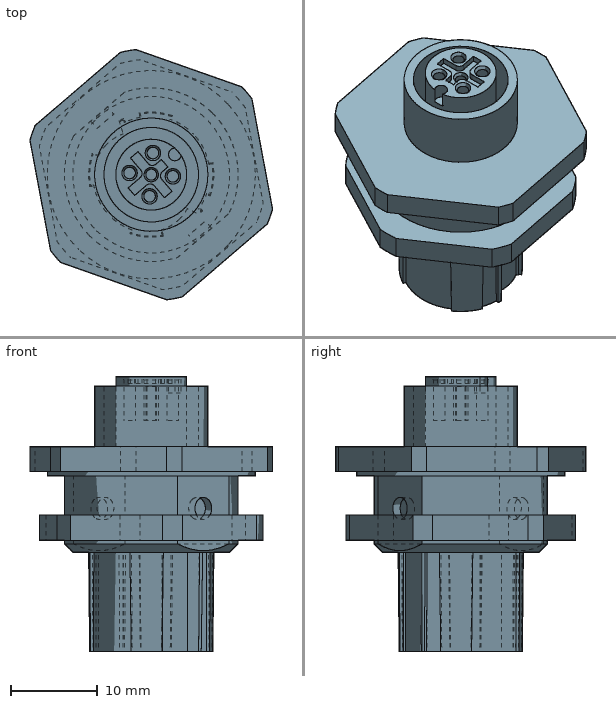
import cadquery as cq
import math

total_height = 31.6
sleeve_top = 30.53
flange_top = 23.57
flange_bottom = 20.7
seal_bottom = 20.2
nut_top = 15.7
nut_bottom = 12.8
body_bottom = 11.4

hex_angle = 10.6
key_angle = hex_angle + 30
flat_angles = (hex_angle - 60, hex_angle + 120)

sleeve_radius = 6.5
sleeve_bore_radius = 5.45
insert_radius = 4.08
seal_radius = 11.98
body_radius = 10.0
body_chamfer = 0.98

flange_across_flats = 25.98
flange_corner_radius = 14.5
nut_across_flats = 24.08
nut_corner_radius = 13.27

body_flat_distance = 9.2
recess_radius = 1.25
recess_depth = 1.1
recess_height = 16.45

contact_circle_radius = 2.5
contact_radius = 0.65
contact_mouth_radius = 0.9
contact_mouth_depth = 0.38
center_contact_radius = 0.63
center_mouth_radius = 0.82
contact_depth = 5.05
keyway_radius = 0.73
keyway_distance = 3.57
keyway_depth = 1.9
cross_depth = 0.75
cross_width = 1.15
cross_arm = 3.0
cross_short_arm = 2.02
cross_fillet = 0.63

grip_radius = 6.73
rib_radius = 7.2
rib_draft = 0.6
wide_rib_span = 31.0
wide_rib_angle = key_angle + 45
narrow_rib_span = 7.0
narrow_rib_offset = 79.0
step_start_offset = 119.4
step_end_offset = 83.9
step_start_radius = 6.45
step_end_radius = 5.7
step_arc_radius = 5.05
step_flank_angle = -26.0
step_clearance = 12.65


def polar(radius, angle):
    """Point at a radius and an angle in degrees."""
    turn = math.radians(angle)
    return (radius * math.cos(turn), radius * math.sin(turn))


def cylinder(radius, bottom, top):
    return cq.Workplane("XY").workplane(offset=bottom).circle(radius).extrude(top - bottom)


def rounded_hexagon(across_flats, corner_radius, bottom, top):
    """Hexagonal plate whose corners lie on a common circle."""
    hexagon = (
        cq.Workplane("XY")
        .workplane(offset=bottom)
        .polygon(6, across_flats, circumscribed=True)
        .extrude(top - bottom)
        .rotate((0, 0, 0), (0, 0, 1), hex_angle)
    )
    return hexagon.intersect(cylinder(corner_radius, bottom, top))


def make_body():
    """Round body with a chamfered lower edge and two opposite flats with recesses."""
    body = cylinder(body_radius, body_bottom, seal_bottom).faces("<Z").chamfer(body_chamfer)
    for angle in flat_angles:
        direction = polar(1, angle) + (0,)
        flat_plane = cq.Plane(
            origin=polar(body_flat_distance, angle) + (recess_height,),
            xDir=(-direction[1], direction[0], 0),
            normal=direction,
        )
        beyond_flat = cq.Workplane(flat_plane).rect(2 * body_radius, 2 * total_height).extrude(body_radius)
        recess = cq.Workplane(flat_plane).circle(recess_radius).extrude(-recess_depth)
        body = body.cut(beyond_flat).cut(recess)
    return body


def make_nut():
    """Lock nut whose bore reaches in to the body flats."""
    nut = rounded_hexagon(nut_across_flats, nut_corner_radius, nut_bottom, nut_top)
    return nut.cut(cylinder(body_flat_distance, nut_bottom, nut_top))


def contact_hole(radius, mouth_radius, top):
    """Blind contact hole with a conical mouth, centred on the Z axis."""
    bottom = total_height - contact_depth
    profile = [
        (0, bottom),
        (radius, bottom),
        (radius, top - contact_mouth_depth),
        (mouth_radius, top),
        (0, top),
    ]
    return cq.Workplane("XZ").polyline(profile).close().revolve(360, (0, 0, 0), (0, 1, 0))


def make_cross_recess():
    """Shallow four-armed recess between the contacts, with one arm shorter."""
    bottom = total_height - cross_depth
    arm_plane = cq.Workplane("XY").workplane(offset=bottom)
    long_bar = arm_plane.rect(cross_width, 2 * cross_arm).extrude(cross_depth)
    short_bar = (
        arm_plane.center((cross_short_arm - cross_arm) / 2, 0)
        .rect(cross_short_arm + cross_arm, cross_width)
        .extrude(cross_depth)
    )
    inner_corners = cq.selectors.BoxSelector(
        (-cross_width, -cross_width, bottom),
        (cross_width, cross_width, total_height),
    )
    cross = long_bar.union(short_bar).edges("|Z").edges(inner_corners).fillet(cross_fillet)
    return cross.rotate((0, 0, 0), (0, 0, 1), key_angle)


def make_insert():
    """Contact carrier standing inside the sleeve."""
    insert = cylinder(insert_radius, flange_top, total_height)
    keyway = cylinder(keyway_radius, total_height - keyway_depth, total_height)
    insert = insert.cut(keyway.translate(polar(keyway_distance, key_angle) + (0,)))
    insert = insert.cut(make_cross_recess())
    cross_floor = total_height - cross_depth
    insert = insert.cut(contact_hole(center_contact_radius, center_mouth_radius, cross_floor))
    for quarter in range(4):
        place = polar(contact_circle_radius, key_angle + 45 + 90 * quarter)
        hole = contact_hole(contact_radius, contact_mouth_radius, total_height)
        insert = insert.cut(hole.translate(place + (0,)))
    return insert


def grip_rib(center_angle, span):
    """Sector-shaped rib that narrows slightly towards the bottom face."""
    start = center_angle - span / 2
    end = center_angle + span / 2
    return (
        cq.Workplane("XY")
        .workplane(offset=body_bottom)
        .moveTo(0, 0)
        .lineTo(*polar(rib_radius, start))
        .threePointArc(polar(rib_radius, center_angle), polar(rib_radius, end))
        .close()
        .extrude(-body_bottom, taper=rib_draft)
    )


def make_step():
    """Cutter for the sunken arc that ends in a flank beside a narrow rib."""
    start_angle = key_angle - step_start_offset
    start = polar(step_start_radius, start_angle)
    end = polar(step_end_radius, key_angle - step_end_offset)
    run = polar(step_clearance - step_end_radius, step_flank_angle)
    flank_end = (end[0] + run[0], end[1] + run[1])
    return (
        cq.Workplane("XY")
        .moveTo(*start)
        .radiusArc(end, -step_arc_radius)
        .lineTo(*flank_end)
        .lineTo(*polar(step_clearance, (start_angle + step_flank_angle) / 2))
        .lineTo(*polar(step_clearance, start_angle))
        .close()
        .extrude(body_bottom)
    )


def make_grip():
    """Lower grip, symmetric about the vertical plane through the keyway."""
    grip = cylinder(grip_radius, 0, body_bottom)
    for quarter in range(4):
        grip = grip.union(grip_rib(wide_rib_angle + 90 * quarter, wide_rib_span))
    for side in (-1, 1):
        grip = grip.union(grip_rib(key_angle + side * narrow_rib_offset, narrow_rib_span))
    step = make_step()
    unturned_step = step.rotate((0, 0, 0), (0, 0, 1), -key_angle)
    mirrored_step = unturned_step.mirror("XZ").rotate((0, 0, 0), (0, 0, 1), key_angle)
    return grip.cut(step).cut(mirrored_step)


sleeve = cylinder(sleeve_radius, flange_top, sleeve_top).cut(
    cylinder(sleeve_bore_radius, flange_top, sleeve_top)
)
flange = rounded_hexagon(flange_across_flats, flange_corner_radius, flange_bottom, flange_top)
seal = cylinder(seal_radius, seal_bottom, flange_bottom)

result = (
    flange.union(seal)
    .union(make_body())
    .union(make_nut())
    .union(sleeve)
    .union(make_insert())
    .union(make_grip())
)